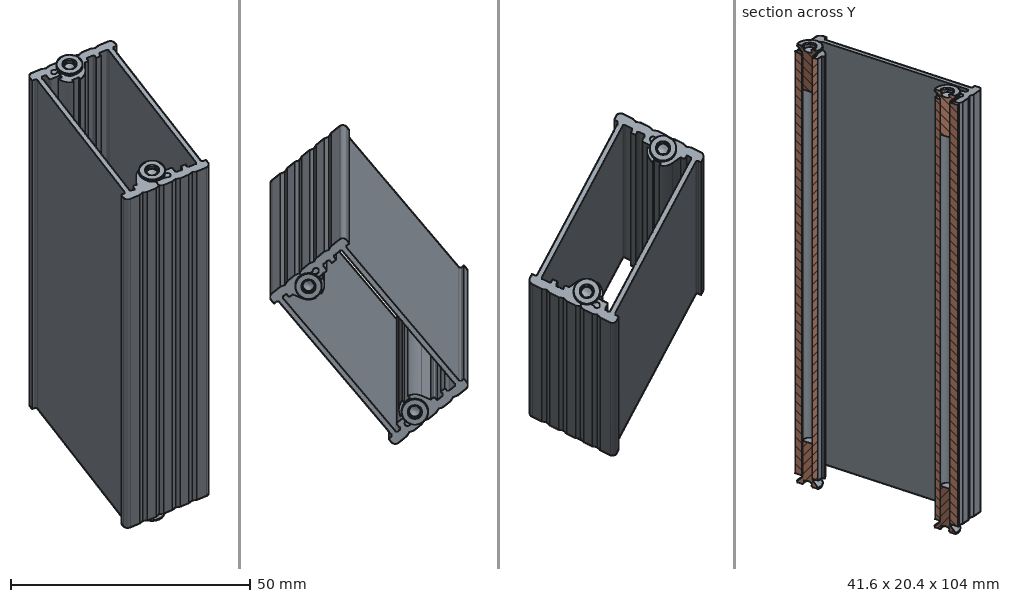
import cadquery as cq
import math

total_length = 104.0
width = 41.6
depth = 20.4
head_stand_off = 2.0
tube_length = total_length - 2 * head_stand_off
half_width = width / 2
half_depth = depth / 2

side_wall = 2.0
panel = 1.1
panel_recess = 1.0
corner_radius = 1.0
panel_root_fillet = 0.4
inner_fillet = 0.3
wall_face = half_width - side_wall
panel_outer = half_depth - panel_recess
panel_inner = panel_outer - panel

groove_pitch = 4.0
groove_half_width = 0.9
groove_depth = 0.3
groove_places = [groove_pitch * step for step in (-1.5, -0.5, 0.5, 1.5)]

ridge_height = 0.9
ridge_low = 4.7
ridge_high = 5.8

screw_x = half_width - 3.3
screw_y = groove_places[1]
bore_diameter = 2.7
boss_radius = 3.3
block_reach = 4.9
hook_block_height = 0.9
hook_block_drop = 4.0
lip_block_height = 1.6
notch_width = 1.6
notch_depth = 0.7

lip_top = -2.3
lip_gap = 0.6
bead_radius = 0.6
bead_inset = -1.2
bead_drop = 3.0
hook_neck = 0.7

head_top_radius = 2.7
head_rim_radius = 2.8
head_rim_height = 0.4
neck_radius = 1.6
screw_length = 10.4
socket_across_flats = 2.4
socket_mouth_diameter = 3.0
socket_chamfer = 0.3
socket_depth = 0.9
socket_floor_diameter = socket_across_flats
socket_floor_slope = 20.0

wall_offset = screw_x - wall_face
hook_block_face = wall_offset + hook_block_height
lip_block_face = wall_offset + lip_block_height
inside_wall = wall_offset - side_wall / 2

left_joint = (-1, 1)
right_joint = (1, -1)
joints = (left_joint, right_joint)


def cross_section():
    """Workplane at the lower end of the enclosure."""
    return cq.Workplane("XY", origin=(0, 0, -tube_length / 2))


def prism(points):
    """Full-length prism over a polygon of the cross-section."""
    return cross_section().polyline(points).close().extrude(tube_length)


def bar(x_min, x_max, y_min, y_max):
    """Full-length prism over a rectangle of the cross-section."""
    return prism([(x_min, y_min), (x_max, y_min), (x_max, y_max), (x_min, y_max)])


def rod(center, radius):
    """Full-length round prism."""
    return cross_section().center(*center).circle(radius).extrude(tube_length)


def joint_point(joint, inset, rise):
    """Point at an offset from a screw axis: inset toward the middle, rise toward the hook's root."""
    side, hook = joint
    return (side * (screw_x - inset), screw_y + hook * rise)


def joint_prism(joint, offsets):
    """Full-length prism over a polygon given by offsets from a screw axis."""
    return prism([joint_point(joint, inset, rise) for inset, rise in offsets])


def round_edges(body, places, radius):
    """Fillet the lengthwise edges that pass through the given points of the cross-section."""
    reach = 0.05
    for x, y in places:
        box = cq.selectors.BoxSelector((x - reach, y - reach, -reach), (x + reach, y + reach, reach))
        body = body.edges(box).fillet(radius)
    return body


def plain_tube():
    """Two side walls joined by two recessed panels, with a guide ridge on each wall."""
    tube = bar(-half_width, half_width, -half_depth, half_depth).edges("|Z").fillet(corner_radius)
    tube = tube.cut(bar(-wall_face, wall_face, -panel_inner, panel_inner))
    tube = tube.cut(bar(-wall_face, wall_face, panel_outer, half_depth))
    tube = tube.cut(bar(-wall_face, wall_face, -half_depth, -panel_outer))
    for side in (-1, 1):
        ridge_face = side * (wall_face - ridge_height)
        tube = tube.union(bar(side * wall_face, ridge_face, ridge_low, ridge_high))
    outer_roots = [(x, y) for x in (-wall_face, wall_face) for y in (-panel_outer, panel_outer)]
    tube = round_edges(tube, outer_roots, panel_root_fillet)
    inner_levels = (-panel_inner, ridge_low, ridge_high, panel_inner)
    inner_roots = [(x, y) for x in (-wall_face, wall_face) for y in inner_levels]
    return round_edges(tube, inner_roots, inner_fillet)


def hook_boss(joint):
    """Round boss with a flank that runs tangent from its block on the side wall."""
    corner_distance = math.hypot(hook_block_face, hook_block_drop)
    corner_angle = math.atan2(hook_block_drop, hook_block_face)
    tangent_angle = corner_angle - math.acos(boss_radius / corner_distance)
    tangent_point = (boss_radius * math.cos(tangent_angle), boss_radius * math.sin(tangent_angle))
    block = joint_prism(joint, [
        (inside_wall, 0), (inside_wall, block_reach), (hook_block_face, block_reach),
        (hook_block_face, hook_block_drop), tangent_point, (0, 0)])
    block = round_edges(block, [joint_point(joint, hook_block_face, block_reach)], inner_fillet)
    return block.union(rod(joint_point(joint, 0, 0), boss_radius))


def lip_block(joint):
    """Block on the side wall whose top is the lip under the hook."""
    block = joint_prism(joint, [
        (inside_wall, lip_top), (inside_wall, -block_reach),
        (lip_block_face, -block_reach), (lip_block_face, lip_top)])
    return round_edges(block, [joint_point(joint, lip_block_face, -block_reach)], inner_fillet)


def lip_clearance(joint):
    """Open gap between the lip and the free end of the hook."""
    gap_end = lip_block_face + lip_gap
    return joint_prism(joint, [
        (lip_block_face, lip_top), (gap_end, lip_top), (gap_end, -block_reach), (lip_block_face, -block_reach)])


def boss_notch(joint):
    """Notch along the innermost line of the boss."""
    floor = boss_radius - notch_depth
    half = notch_width / 2
    return joint_prism(joint, [
        (floor, -half), (boss_radius + notch_depth, -half), (boss_radius + notch_depth, half), (floor, half)])


def wall_groove(side, y):
    """V-groove in the outside of a side wall."""
    face = side * half_width
    return prism([(face, y - groove_half_width), (face - side * groove_depth, y), (face, y + groove_half_width)])


def enclosure():
    """Both shells together, before they are parted."""
    tube = plain_tube()
    for joint in joints:
        tube = tube.union(hook_boss(joint)).cut(lip_clearance(joint)).union(lip_block(joint))
        tube = tube.cut(boss_notch(joint)).cut(rod(joint_point(joint, 0, 0), bore_diameter / 2))
        tube = round_edges(tube, [joint_point(joint, wall_offset, -block_reach)], inner_fillet)
    for side in (-1, 1):
        for y in groove_places:
            tube = tube.cut(wall_groove(side, y))
    return tube


def hook_zone(joint):
    """Space of the hook beyond the parting level: its arm, and the bead in the lip's socket."""
    neck_start = bead_inset - hook_neck / 2
    neck_end = bead_inset + hook_neck / 2
    far = boss_radius + notch_depth
    arm = joint_prism(joint, [
        (neck_start, 0), (neck_start, -bead_drop), (neck_end, -bead_drop), (neck_end, lip_top),
        (lip_block_face, lip_top), (lip_block_face, -boss_radius), (far, -boss_radius), (far, 0)])
    return arm.union(rod(joint_point(joint, bead_inset, -bead_drop), bead_radius))


def base_zone():
    """Space of the base: all below the parting level, less the cover's hook, plus its own hook."""
    zone = bar(-half_width, half_width, -half_depth, screw_y)
    return zone.cut(hook_zone(left_joint)).union(hook_zone(right_joint))


def screw(x, y, end):
    """Countersunk hex-socket screw whose head stands off one end of the enclosure."""
    neck_drop = head_rim_height + head_rim_radius - neck_radius
    shank_radius = bore_diameter / 2
    body = (
        cq.Workplane("XZ")
        .polyline([
            (0, 0), (head_top_radius, 0), (head_rim_radius, -head_rim_height), (neck_radius, -neck_drop),
            (neck_radius, -head_stand_off), (shank_radius, -head_stand_off),
            (shank_radius, -screw_length), (0, -screw_length)])
        .close()
        .revolve(360, (0, 0), (0, 1))
    )
    across_corners = socket_across_flats / math.cos(math.pi / 6)
    socket = cq.Workplane("XY").polygon(6, across_corners).extrude(-socket_depth)
    floor_radius = socket_floor_diameter / 2
    point_drop = socket_depth + floor_radius * math.tan(math.radians(socket_floor_slope))
    point = (
        cq.Workplane("XZ")
        .polyline([(0, -socket_depth), (floor_radius, -socket_depth), (0, -point_drop)])
        .close()
        .revolve(360, (0, 0), (0, 1))
    )
    mouth_radius = socket_mouth_diameter / 2
    mouth = cq.Workplane("XY").add(cq.Solid.makeCone(
        mouth_radius, mouth_radius - socket_chamfer, socket_chamfer, dir=cq.Vector(0, 0, -1)))
    body = body.cut(socket).cut(point).cut(mouth)
    if end < 0:
        body = body.rotate((0, 0, 0), (1, 0, 0), 180)
    return body.translate((x, y, end * total_length / 2))


whole = enclosure()
zone = base_zone()
base = whole.intersect(zone)
cover = whole.cut(zone)
screws = [screw(side * screw_x, screw_y, end).val() for side in (-1, 1) for end in (-1, 1)]

result = cq.Compound.makeCompound([base.val(), cover.val(), *screws])